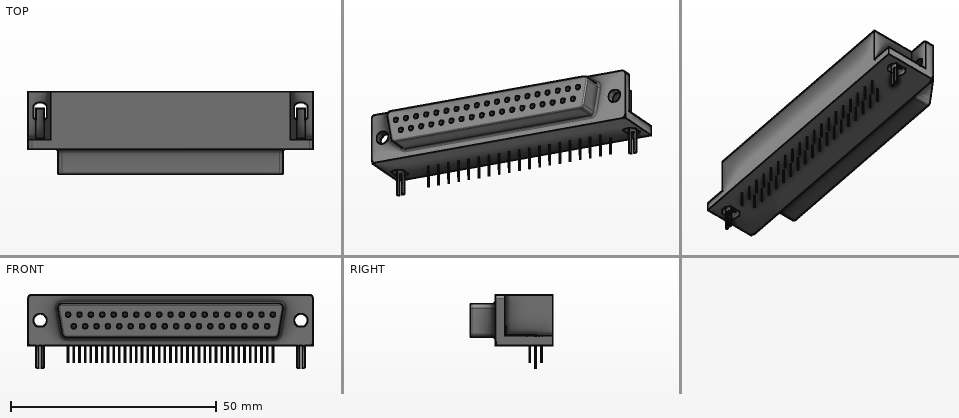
import cadquery as cq
import math


overall_width = 69.4
housing_height = 12.4
housing_depth = 14.04
flange_thickness = 2.34
body_width = 58.4
foot_thickness = 2.4
corner_radius = 0.9

plate_thickness = 0.3

mid_z = 6.15

mount_pitch = 63.5
mount_hole_dia = 3.2
slot_width = 3.2
slot_end_dia = 4.0
slot_arc_spacing = 0.5
slot_to_back = 4.88
slot_mid_y = housing_depth - slot_to_back

shell_projection = 6.1
shell_width = 54.84
shell_height = 8.2
shell_side_angle = 10.0
shell_corner_radius = 1.0
shell_rim_radius = 0.35
shell_root_radius = 0.6

contact_pitch = 2.77
contact_row_spacing = 2.84
upper_row_count = 19
lower_row_count = 18
contact_hole_dia = 1.2
contact_hole_depth = 5.0
tail_dia = 0.3
tail_length = 4.0
tail_rows_to_back = 4.2
tail_rows_mid_y = housing_depth - tail_rows_to_back
tail_embedment = 1.0

lock_width = 2.0
lock_sheet = 0.3
lock_top_z = 4.7
lock_leg_length = 5.5
lock_leg_gap = 0.6
lock_tip_chamfer = 0.25


def box(x_min, x_max, y_min, y_max, z_min, z_max):
    """Axis-aligned block between the given limits."""
    size = (x_max - x_min, y_max - y_min, z_max - z_min)
    return cq.Workplane("XY").box(*size, centered=False).translate((x_min, y_min, z_min))


def make_housing():
    """Flange, feet and full-height body, with the flange top corners rounded."""
    half = overall_width / 2
    flange = box(-half, half, plate_thickness, flange_thickness, 0, housing_height)
    flange = flange.edges("|Y and >Z").fillet(corner_radius)
    feet = box(-half, half, plate_thickness, housing_depth, 0, foot_thickness)
    body = box(-body_width / 2, body_width / 2, plate_thickness, housing_depth, 0, housing_height)
    return flange.union(feet).union(body)


def make_face_plate():
    """Thin plate with all four corners rounded."""
    half = overall_width / 2
    plate = box(-half, half, 0, plate_thickness, 0, housing_height)
    return plate.edges("|Y").fillet(corner_radius)


def make_shell():
    """D-shaped shell with rounded corners, a rounded rim and its mating face filled."""
    slope = math.tan(math.radians(shell_side_angle))
    corner_angle = math.radians(90 - shell_side_angle)
    corner_setback = shell_corner_radius / math.tan(corner_angle / 2)
    top_half = shell_width / 2 + corner_setback - shell_corner_radius
    bottom_half = top_half - shell_height * slope
    top_z = mid_z + shell_height / 2
    bottom_z = mid_z - shell_height / 2
    outline = [
        (-top_half, top_z),
        (top_half, top_z),
        (bottom_half, bottom_z),
        (-bottom_half, bottom_z),
    ]
    shell = cq.Workplane("XZ").polyline(outline).close().extrude(shell_projection)
    shell = shell.edges("|Y").fillet(shell_corner_radius)
    return shell.faces("<Y").edges().fillet(shell_rim_radius)


def make_front():
    """Face plate and shell, with a fillet in the inside corner between them."""
    front = make_face_plate().union(make_shell())
    reach_x = shell_width / 2 + shell_root_radius
    reach_y = shell_root_radius / 2
    reach_z = shell_height / 2 + shell_root_radius
    root_edges = cq.selectors.BoxSelector(
        (-reach_x, -reach_y, mid_z - reach_z),
        (reach_x, reach_y, mid_z + reach_z),
    )
    return front.edges(root_edges).fillet(shell_root_radius)


def row_positions(count):
    """X positions of one centred contact row."""
    return [(i - (count - 1) / 2) * contact_pitch for i in range(count)]


def make_contact_holes():
    """Blind socket holes opening in the mating face."""
    half_spacing = contact_row_spacing / 2
    points = [(x, mid_z + half_spacing) for x in row_positions(upper_row_count)]
    points += [(x, mid_z - half_spacing) for x in row_positions(lower_row_count)]
    face = cq.Workplane("XZ", origin=(0, -shell_projection, 0))
    return face.pushPoints(points).circle(contact_hole_dia / 2).extrude(-contact_hole_depth)


def make_tails():
    """Round solder tails: the upper contact row ends in the rear tail row."""
    half_spacing = contact_row_spacing / 2
    points = [(x, tail_rows_mid_y + half_spacing) for x in row_positions(upper_row_count)]
    points += [(x, tail_rows_mid_y - half_spacing) for x in row_positions(lower_row_count)]
    start = cq.Workplane("XY", origin=(0, 0, -tail_length))
    return start.pushPoints(points).circle(tail_dia / 2).extrude(tail_length + tail_embedment)


def make_foot_slot(x):
    """Through slot with flat sides and shallow arc ends."""
    end_radius = slot_end_dia / 2
    half_width = slot_width / 2
    arc_rise = end_radius - math.sqrt(end_radius**2 - half_width**2)
    half_length = end_radius + slot_arc_spacing / 2
    shoulder = half_length - arc_rise
    return (
        cq.Workplane("XY", origin=(x, slot_mid_y, 0))
        .moveTo(-half_width, -shoulder)
        .threePointArc((0, -half_length), (half_width, -shoulder))
        .lineTo(half_width, shoulder)
        .threePointArc((0, half_length), (-half_width, shoulder))
        .close()
        .extrude(foot_thickness)
    )


def make_board_lock(x):
    """Bent strip: up the flange, along the foot, then down as two prongs."""
    half = lock_width / 2
    leg_y = tail_rows_mid_y - lock_sheet / 2
    leg_back_y = leg_y + lock_sheet
    top_z = foot_thickness + lock_sheet
    upright = box(-half, half, flange_thickness, flange_thickness + lock_sheet, foot_thickness, lock_top_z)
    strip = box(-half, half, flange_thickness, leg_back_y, foot_thickness, top_z)
    legs = box(-half, half, leg_y, leg_back_y, -lock_leg_length, top_z)
    legs = legs.edges("|Y and <Z").chamfer(lock_tip_chamfer)
    gap = box(-lock_leg_gap / 2, lock_leg_gap / 2, leg_y, leg_back_y, -lock_leg_length, 0)
    return upright.union(strip).union(legs.cut(gap)).translate((x, 0, 0))


def make_mount_hole(x):
    """Through hole in the flange."""
    start = cq.Workplane("XZ", origin=(x, 0, mid_z))
    return start.circle(mount_hole_dia / 2).extrude(-flange_thickness)


result = make_housing().union(make_front(), clean=False)
result = result.union(make_tails(), clean=False)
result = result.cut(make_contact_holes(), clean=False)
for mount_x in (-mount_pitch / 2, mount_pitch / 2):
    result = result.cut(make_mount_hole(mount_x), clean=False)
    result = result.cut(make_foot_slot(mount_x), clean=False)
    result = result.union(make_board_lock(mount_x), clean=False)